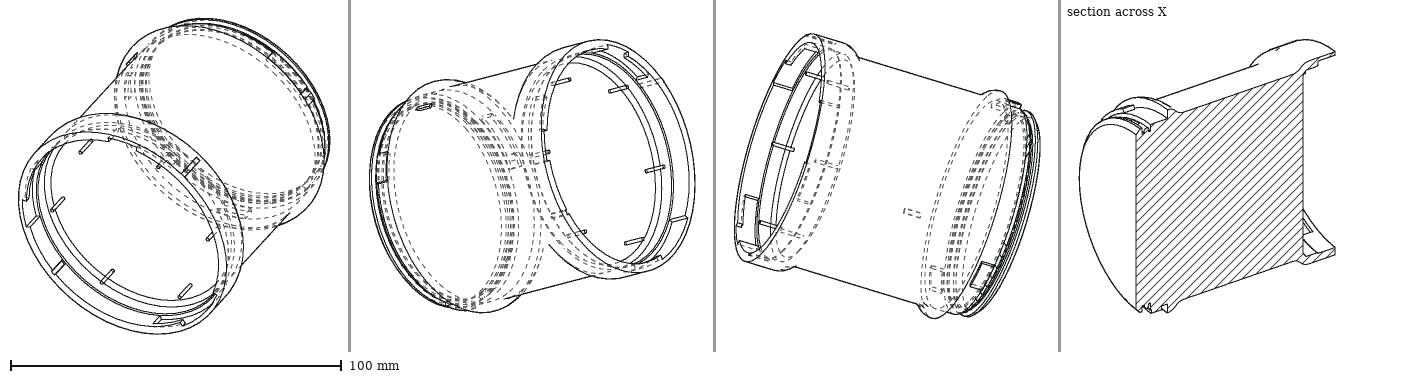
import cadquery as cq
import math

length = 72.55
rim_radius = 36.0
body_radius = 33.15

socket_length = 9.5
flare_length = 6.2

skirt_top = 61.15

spigot_radius = 32.9
spigot_top = 67.4
neck_radius = 30.5
ring_radius = 32.0
ring_middle = 68.7
ring_section_radius = 0.95
tip_bottom = 70.3
tip_radius = 32.5
tip_cone_base = 71.1
tip_end_radius = 30.9

bore_radius = 33.2
bore_depth = 6.25
step_end = 6.7
seat_radius = 32.9
seat_depth = 10.6
floor_radius = 31.2
floor_depth = 11.7

slot_radius = 34.6
slot_entries = [(-53.2, -19.7), (81.8, 98.2), (180.0, 196.2)]
lock_turn = 20.0
lock_start = 1.75

lug_radius = 34.2
lug_bottom = 63.1
lug_top = 67.0
lug_spans = [(30.6, 63.3), (169.2, 184.9), (267.0, 283.0)]

notch_wall_angle = 37.8
notch_ramp_end_angle = 34.3
notch_depth = 0.7

pin_count = 6
pin_circle_radius = 27.2
pin_radius = 0.5
pin_length = 7.05
pin_root = 0.5
pin_first_angle = 9.0

key_width = 1.45
key_height = 0.65
key_angle = 142.6
key_bottom = 51.8
key_top = 57.6
keyway_angle = 224.8
marker_height = 0.15
marker_angle = 54.6


def add_flare(outline, start, end):
    """Append an S-shaped flare: two equal tangent arcs that follow on from a line along Y."""
    middle = ((start[0] + end[0]) / 2, (start[1] + end[1]) / 2)
    return outline.tangentArcPoint(middle, relative=False).tangentArcPoint(end, relative=False)


def revolve_about_y(outline):
    return outline.close().revolve(360, (0, 0, 0), (0, 1, 0))


def turned_outside():
    flare_end = socket_length + flare_length
    outline = cq.Workplane("XY").lineTo(rim_radius, 0).lineTo(rim_radius, socket_length)
    outline = add_flare(outline, (rim_radius, socket_length), (body_radius, flare_end))
    skirt_start = (body_radius, skirt_top - flare_length)
    outline = outline.lineTo(*skirt_start)
    outline = add_flare(outline, skirt_start, (rim_radius, skirt_top))
    outline = (
        outline.lineTo(spigot_radius, skirt_top)
        .lineTo(spigot_radius, spigot_top)
        .lineTo(neck_radius, spigot_top)
        .lineTo(neck_radius, tip_bottom)
        .lineTo(tip_radius, tip_bottom)
        .lineTo(tip_radius, tip_cone_base)
        .lineTo(tip_end_radius, length)
        .lineTo(0, length)
    )
    return revolve_about_y(outline)


def seal_ring():
    centre_radius = ring_radius - ring_section_radius
    centre = cq.Vector(0, ring_middle, 0)
    return cq.Workplane(cq.Solid.makeTorus(centre_radius, ring_section_radius, centre, cq.Vector(0, 1, 0)))


def socket_cavity():
    outline = (
        cq.Workplane("XY")
        .lineTo(bore_radius, 0)
        .lineTo(bore_radius, bore_depth)
        .lineTo(seat_radius, step_end)
        .lineTo(seat_radius, seat_depth)
        .lineTo(floor_radius, floor_depth)
        .lineTo(0, floor_depth)
    )
    return revolve_about_y(outline)


def floor_pin(angle):
    """Pin parallel to Y, rooted in the socket floor."""
    pin_x, pin_z = point_at(pin_circle_radius, angle)
    tip = cq.Vector(pin_x, floor_depth - pin_length, pin_z)
    return cq.Workplane(cq.Solid.makeCylinder(pin_radius, pin_length + pin_root, tip, cq.Vector(0, 1, 0)))


def ring_sector(inner, outer, start, end, first_angle, last_angle):
    """Part of a ring about Y; angles run from +X towards +Z."""
    sector = (
        cq.Workplane("XY")
        .moveTo(inner, start)
        .lineTo(outer, start)
        .lineTo(outer, end)
        .lineTo(inner, end)
        .close()
        .revolve(last_angle - first_angle, (0, 0, 0), (0, -1, 0))
    )
    return sector.rotate((0, 0, 0), (0, 1, 0), -first_angle)


def radial_bar(inner, outer, start, end, angle):
    """Bar of key width along Y, between two radii, at the given angle."""
    bar = cq.Workplane("XY").box(outer - inner, end - start, key_width, centered=(False, False, True))
    return bar.translate((inner, start, 0)).rotate((0, 0, 0), (0, 1, 0), -angle)


def point_at(radius, angle):
    """X and Z of a point given by its radius from the axis and its angle."""
    return (radius * math.cos(math.radians(angle)), radius * math.sin(math.radians(angle)))


def ratchet_notch():
    outside = lug_radius + notch_depth
    corners = [
        point_at(outside, notch_wall_angle),
        point_at(lug_radius - notch_depth, notch_wall_angle),
        point_at(lug_radius, notch_ramp_end_angle),
        point_at(outside, notch_ramp_end_angle),
    ]
    section = cq.Workplane("XZ", origin=(0, lug_bottom, 0)).polyline(corners).close()
    return section.extrude(lug_bottom - lug_top)


result = turned_outside().union(seal_ring()).cut(socket_cavity())

for first, last in slot_entries:
    entry = ring_sector(seat_radius, slot_radius, 0, bore_depth, first, last)
    lock = ring_sector(seat_radius, slot_radius, lock_start, bore_depth, first - lock_turn, first)
    result = result.cut(entry).cut(lock)

for first, last in lug_spans:
    result = result.union(ring_sector(neck_radius, lug_radius, lug_bottom, lug_top, first, last))

result = result.cut(ratchet_notch())

for index in range(pin_count):
    result = result.union(floor_pin(pin_first_angle + index * 360 / pin_count))

result = result.union(radial_bar(neck_radius, body_radius + key_height, key_bottom, key_top, key_angle))
result = result.cut(radial_bar(seat_radius, bore_radius + key_height, 0, bore_depth, keyway_angle))
result = result.union(radial_bar(slot_radius, rim_radius + marker_height, 0, socket_length, marker_angle))